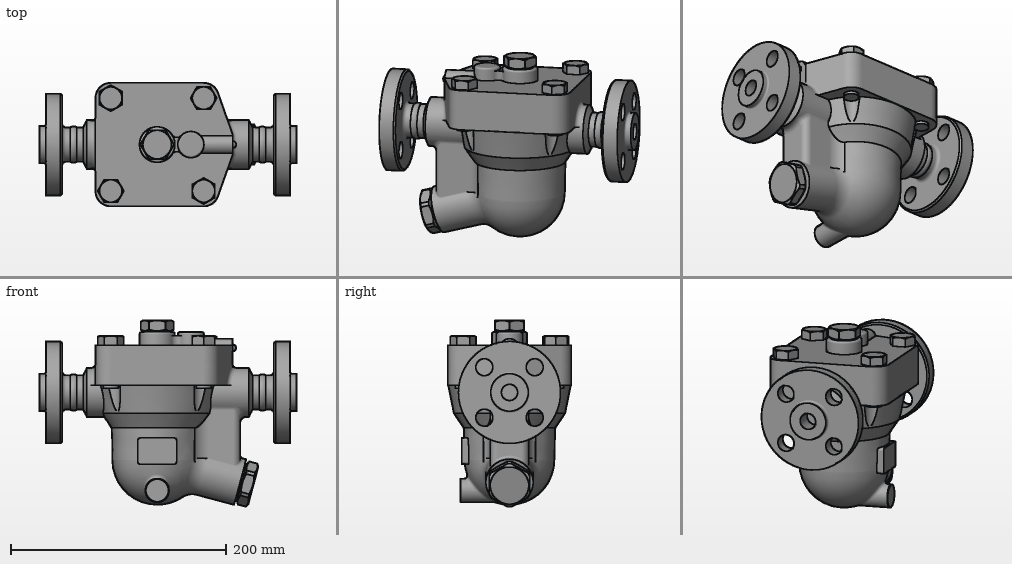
import cadquery as cq
import math


BOLT_OFFSET = 43.15
CORNER_RADIUS = 14.3
PLATE_HALF = BOLT_OFFSET + CORNER_RADIUS
FLANGE_BOTTOM = 6.7
JOINT_LEVEL = 26.8
COVER_TOP = 44.0
NOSE_X = 70.0
NOSE_HALF_WIDTH = 9.5

HEX_CHAMFER_SHARE = 0.14
HEX_CHAMFER_ANGLE = 30.0

BOLT_ACROSS_FLATS = 21.0
BOLT_HEAD_HEIGHT = 8.5
BOLT_DIAMETER = 14.0
BOLT_END_LEVEL = 3.8
BOLT_CLEARANCE_RADIUS = 8.8

BOWL_TOP_RADIUS = 57.1
BOWL_WAIST_RADIUS = 51.9
BOWL_WAIST_LEVEL = -19.1
CUP_TOP_RADIUS = 42.5
CUP_TOP_LEVEL = -33.0
DOME_RADIUS = 41.8
DOME_CENTRE_LEVEL = -62.5

LEFT_END = -109.5
OVERALL_LENGTH = 239.0
RIGHT_END = LEFT_END + OVERALL_LENGTH
PIPE_RADIUS = 46.0 / 2
NECK_RADIUS = 32.0 / 2
BEAD_RADIUS = 17.0
FACE_RADIUS = 35.0 / 2
FACE_HEIGHT = 6.0
FACE_FILLET = 1.7
FLANGE_RADIUS = 95.0 / 2
FLANGE_THICKNESS = 15.3
FLANGE_CHAMFER = 1.7
NECK_FILLET = 3.3
BEAD_START = 28.7
BEAD_WIDTH = 6.2
LEFT_NECK_END = 40.6
RIGHT_NECK_END = 40.9
CONE_LENGTH = 3.5
PIPE_FILLET = 3.5
FLANGE_HOLE_DIAMETER = 15.8
FLANGE_HOLE_OFFSET = 23.5
BORE_DIAMETER = 15.0

PLUG_BOSS_RADIUS = 16.5
BOSS_TOP = 56.2
PLUG_ACROSS_FLATS = 27.0
PLUG_ACROSS_CORNERS = 30.8
PLUG_NECK_RADIUS = 12.5
PLUG_GAP = 1.0
PLUG_HEIGHT = 9.8
SIDE_BOSS_X = 31.3
SIDE_BOSS_RADIUS = 12.2
BOSS_ROUND = 2.0
BRIDGE_BLEND = 5.5
BRIDGE_TOP = 52.8
DUCT_RADIUS = 8.5
DUCT_LEVEL = 41.3
TIP_RADIUS = 3.3

PORT_ANGLE = 15.0
PORT_RADIUS = 44.0 / 2
PORT_LENGTH = 79.8
PORT_BLEND = 17.2
PORT_PLUG_ACROSS_FLATS = 37.8
PORT_PLUG_ACROSS_CORNERS = 41.5
PORT_PLUG_NECK_RADIUS = 16.7
PORT_PLUG_GAP = 1.7
PORT_PLUG_HEIGHT = 11.0

RIB_HALF_WIDTH = 17.7
RIB_START_X = 28.7
RIB_END_X = 77.2
RIB_LOW_LEVEL = -86.0
RIB_ROOT_LEVEL = -64.5
RIB_CORNER = 6.5
RIB_BLEND = 15.5
RIB_PIPE_FILLET = 5.3
RIB_PORT_FILLET = 2.5

PAD_WIDTH = 36.0
PAD_HEIGHT = 24.4
PAD_CENTRE_LEVEL = -54.5
PAD_FACE_Y = -44.5
PAD_DEPTH = 18.6
PAD_CORNER = 2.5
DRAIN_RADIUS = 22.0 / 2
DRAIN_LEVEL = -91.0
DRAIN_FACE_Y = -46.0
DRAIN_CHAMFER = 0.5
DRAIN_BLEND = 2.9


def corner_diameter(across_flats):
    return across_flats / math.cos(math.radians(30))


def hex_head(across_flats, across_corners, height, chamfer_bottom=False):
    """Hexagon head with corners on X, turned to a corner diameter and chamfered at the rim."""
    head = cq.Workplane("XY").polygon(6, corner_diameter(across_flats)).extrude(height)
    corner = across_corners / 2
    inset = HEX_CHAMFER_SHARE * corner
    drop = inset * math.tan(math.radians(HEX_CHAMFER_ANGLE))
    envelope = cq.Workplane("XY").circle(corner).extrude(height).faces(">Z").chamfer(drop, inset)
    if chamfer_bottom:
        envelope = envelope.faces("<Z").chamfer(drop, inset)
    return head.intersect(envelope)


def edges_in(low, high):
    """Selector for the edges whose centres lie in a box."""
    return cq.selectors.BoxSelector(low, high)


def cylinder(radius, bottom, top, x=0, y=0):
    return cq.Workplane("XY", origin=(x, y, bottom)).circle(radius).extrude(top - bottom)


def plate(bottom, top):
    """Square plate whose right side comes to a blunt nose."""
    dx = NOSE_X - BOLT_OFFSET
    dy = NOSE_HALF_WIDTH - BOLT_OFFSET
    slant = math.atan2(dy, dx) + math.acos(CORNER_RADIUS / math.hypot(dx, dy))

    def on_corner(angle):
        return (BOLT_OFFSET + CORNER_RADIUS * math.cos(angle),
                BOLT_OFFSET + CORNER_RADIUS * math.sin(angle))

    middle = on_corner((slant + math.pi / 2) / 2)
    end = on_corner(slant)
    diagonal = BOLT_OFFSET + CORNER_RADIUS * math.cos(math.pi / 4)
    half_plate = (
        cq.Workplane("XY", origin=(0, 0, bottom))
        .moveTo(-PLATE_HALF, 0)
        .lineTo(-PLATE_HALF, BOLT_OFFSET)
        .threePointArc((-diagonal, diagonal), (-BOLT_OFFSET, PLATE_HALF))
        .lineTo(BOLT_OFFSET, PLATE_HALF)
        .threePointArc(middle, end)
        .lineTo(NOSE_X, NOSE_HALF_WIDTH)
        .lineTo(NOSE_X, 0)
        .close()
        .extrude(top - bottom)
    )
    return half_plate.union(half_plate.mirror("XZ"))


def bowl():
    bottom = DOME_CENTRE_LEVEL - DOME_RADIUS
    arc = DOME_RADIUS * math.sqrt(0.5)
    return (
        cq.Workplane("XZ")
        .moveTo(0, bottom)
        .threePointArc((arc, DOME_CENTRE_LEVEL - arc), (DOME_RADIUS, DOME_CENTRE_LEVEL))
        .lineTo(CUP_TOP_RADIUS, CUP_TOP_LEVEL)
        .lineTo(BOWL_WAIST_RADIUS, BOWL_WAIST_LEVEL)
        .lineTo(BOWL_TOP_RADIUS, FLANGE_BOTTOM)
        .lineTo(0, FLANGE_BOTTOM)
        .close()
        .revolve(360, (0, 0, 0), (0, 1, 0))
    )


def pipe_end(length, neck_end):
    """Pipe, neck and bolted flange along +X; the outer face is at X = 0, the body at X = length."""
    back = FACE_HEIGHT + FLANGE_THICKNESS
    fillet = NECK_FILLET * (1 - math.sqrt(0.5))
    face_fillet = FACE_FILLET * (1 - math.sqrt(0.5))
    shape = (
        cq.Workplane("XY")
        .moveTo(0, 0)
        .lineTo(0, FACE_RADIUS)
        .lineTo(FACE_HEIGHT - FACE_FILLET, FACE_RADIUS)
        .threePointArc((FACE_HEIGHT - face_fillet, FACE_RADIUS + face_fillet),
                       (FACE_HEIGHT, FACE_RADIUS + FACE_FILLET))
        .lineTo(FACE_HEIGHT, FLANGE_RADIUS)
        .lineTo(back - FLANGE_CHAMFER, FLANGE_RADIUS)
        .lineTo(back, FLANGE_RADIUS - FLANGE_CHAMFER)
        .lineTo(back, NECK_RADIUS + NECK_FILLET)
        .threePointArc((back + fillet, NECK_RADIUS + fillet), (back + NECK_FILLET, NECK_RADIUS))
        .lineTo(BEAD_START, NECK_RADIUS)
        .threePointArc((BEAD_START + BEAD_WIDTH / 2, BEAD_RADIUS), (BEAD_START + BEAD_WIDTH, NECK_RADIUS))
        .lineTo(neck_end, NECK_RADIUS)
        .lineTo(neck_end + CONE_LENGTH, PIPE_RADIUS)
        .lineTo(length, PIPE_RADIUS)
        .lineTo(length, 0)
        .close()
        .revolve(360, (0, 0, 0), (1, 0, 0))
    )
    holes = (
        cq.Workplane("YZ")
        .rect(2 * FLANGE_HOLE_OFFSET, 2 * FLANGE_HOLE_OFFSET, forConstruction=True)
        .vertices()
        .circle(FLANGE_HOLE_DIAMETER / 2)
        .extrude(back)
    )
    bore = cq.Workplane("YZ").circle(BORE_DIAMETER / 2).extrude(back)
    return shape.cut(holes).cut(bore)


def on_port_axis(shape):
    """Turn a shape built along +Z onto the inclined port axis."""
    turned = shape.rotate((0, 0, 0), (0, 1, 0), 90 + PORT_ANGLE)
    return turned.translate((0, 0, DOME_CENTRE_LEVEL))


def side_port():
    """Round port that flares tangentially into the dome."""
    arc_radial = PORT_RADIUS + PORT_BLEND
    arc_centre = DOME_RADIUS + PORT_BLEND
    flare_end = math.sqrt(arc_centre**2 - arc_radial**2)
    touch = DOME_RADIUS / arc_centre
    start = (arc_radial * touch, flare_end * touch)
    middle_angle = math.atan2(flare_end, arc_radial) / 2
    middle = (arc_radial - PORT_BLEND * math.cos(middle_angle),
              flare_end - PORT_BLEND * math.sin(middle_angle))
    port = (
        cq.Workplane("XZ")
        .moveTo(0, 0)
        .lineTo(*start)
        .threePointArc(middle, (PORT_RADIUS, flare_end))
        .lineTo(PORT_RADIUS, PORT_LENGTH)
        .lineTo(0, PORT_LENGTH)
        .close()
        .revolve(360, (0, 0, 0), (0, 1, 0))
    )
    return on_port_axis(port)


def port_plug():
    gap_disc = cylinder(PORT_PLUG_NECK_RADIUS, PORT_LENGTH, PORT_LENGTH + PORT_PLUG_GAP)
    head = hex_head(PORT_PLUG_ACROSS_FLATS, PORT_PLUG_ACROSS_CORNERS, PORT_PLUG_HEIGHT, True)
    head = head.translate((0, 0, PORT_LENGTH + PORT_PLUG_GAP))
    return on_port_axis(gap_disc.union(head))


def above_port_axis(shape):
    size = 2 * PORT_LENGTH
    below = cq.Workplane("XY", origin=(size / 2, 0, 0)).box(size, size, 2 * size)
    return shape.cut(on_port_axis(below))


def channel_rib():
    """Upright rib from the right pipe down to the port, with plain lengths of both to fillet against."""
    length = RIB_END_X - RIB_START_X
    rib = (
        cq.Workplane("XY", origin=(RIB_START_X + length / 2, 0, RIB_LOW_LEVEL))
        .rect(length, 2 * RIB_HALF_WIDTH)
        .extrude(-RIB_LOW_LEVEL)
        .edges("|Z and >X")
        .fillet(RIB_CORNER)
    )
    port = on_port_axis(cylinder(PORT_RADIUS, 0, PORT_LENGTH))
    pipe_length = RIGHT_END - RIGHT_NECK_END - CONE_LENGTH - RIB_START_X
    pipe = cq.Workplane("YZ", origin=(RIB_START_X, 0, 0)).circle(PIPE_RADIUS).extrude(pipe_length)
    rib = above_port_axis(rib).union(port).union(pipe)

    inner_x = RIB_START_X + 4.8
    outer_x = RIB_END_X + 2.5
    width = RIB_HALF_WIDTH + 2.5
    port_edges = edges_in((inner_x, -width, DOME_CENTRE_LEVEL - 7.2), (outer_x, width, DOME_CENTRE_LEVEL + 2.5))
    rib = rib.edges(port_edges).edges("not %CIRCLE").fillet(RIB_PORT_FILLET)
    pipe_edges = edges_in((inner_x, -width, -PIPE_RADIUS - 0.2), (outer_x, width, -PIPE_RADIUS / 2))
    return rib.edges(pipe_edges).fillet(RIB_PIPE_FILLET)


def rib_root():
    """Concave blend between the rib sides and the round cup."""
    centre_y = RIB_HALF_WIDTH + RIB_BLEND
    centre_x = math.sqrt((CUP_TOP_RADIUS + RIB_BLEND) ** 2 - centre_y**2)
    touch = CUP_TOP_RADIUS / (CUP_TOP_RADIUS + RIB_BLEND)
    half_angle = math.atan2(centre_x, centre_y) / 2
    middle = (centre_x - RIB_BLEND * math.sin(half_angle), centre_y - RIB_BLEND * math.cos(half_angle))
    half_root = (
        cq.Workplane("XY", origin=(0, 0, RIB_ROOT_LEVEL))
        .lineTo(centre_x * touch, centre_y * touch)
        .threePointArc(middle, (centre_x, RIB_HALF_WIDTH))
        .lineTo(centre_x, 0)
        .close()
        .extrude(-RIB_ROOT_LEVEL)
    )
    return above_port_axis(half_root.union(half_root.mirror("XZ")))


def name_pad():
    return (
        cq.Workplane("XZ", origin=(0, PAD_FACE_Y, PAD_CENTRE_LEVEL))
        .rect(PAD_WIDTH, PAD_HEIGHT)
        .extrude(-PAD_DEPTH)
        .edges("|Y")
        .fillet(PAD_CORNER)
    )


def drain_boss():
    return (
        cq.Workplane("XZ", origin=(0, DRAIN_FACE_Y, DRAIN_LEVEL))
        .circle(DRAIN_RADIUS)
        .extrude(DRAIN_FACE_Y)
        .faces("<Y")
        .chamfer(DRAIN_CHAMFER)
    )


def boss_bridge():
    """Low web between the two cover bosses; each concave side is tangent to both bosses."""
    main_reach = PLUG_BOSS_RADIUS + BRIDGE_BLEND
    side_reach = SIDE_BOSS_RADIUS + BRIDGE_BLEND
    arc_x = (main_reach**2 - side_reach**2 + SIDE_BOSS_X**2) / (2 * SIDE_BOSS_X)
    arc_y = math.sqrt(main_reach**2 - arc_x**2)
    main_touch = PLUG_BOSS_RADIUS / main_reach
    side_touch = SIDE_BOSS_RADIUS / side_reach
    half_bridge = (
        cq.Workplane("XY", origin=(0, 0, COVER_TOP))
        .lineTo(arc_x * main_touch, arc_y * main_touch)
        .threePointArc((arc_x, arc_y - BRIDGE_BLEND),
                       (SIDE_BOSS_X + (arc_x - SIDE_BOSS_X) * side_touch, arc_y * side_touch))
        .lineTo(SIDE_BOSS_X, 0)
        .close()
        .extrude(BRIDGE_TOP - COVER_TOP)
    )
    return half_bridge.union(half_bridge.mirror("XZ"))


def cover_fittings():
    main = cylinder(PLUG_BOSS_RADIUS, COVER_TOP, BOSS_TOP).faces(">Z").edges().fillet(BOSS_ROUND)
    side = cylinder(SIDE_BOSS_RADIUS, COVER_TOP, BOSS_TOP, SIDE_BOSS_X).faces(">Z").edges().fillet(BOSS_ROUND)
    duct = (
        cq.Workplane("YZ", origin=(SIDE_BOSS_X, 0, DUCT_LEVEL))
        .circle(DUCT_RADIUS)
        .extrude(NOSE_X - SIDE_BOSS_X)
    )
    tip = cq.Workplane("XY", origin=(NOSE_X, 0, DUCT_LEVEL)).sphere(TIP_RADIUS)
    neck = cylinder(PLUG_NECK_RADIUS, BOSS_TOP, BOSS_TOP + PLUG_GAP)
    plug = hex_head(PLUG_ACROSS_FLATS, PLUG_ACROSS_CORNERS, PLUG_HEIGHT, True)
    plug = plug.translate((0, 0, BOSS_TOP + PLUG_GAP))
    return [main, side, boss_bridge(), duct, tip, neck, plug]


bolt_places = [(sx * BOLT_OFFSET, sy * BOLT_OFFSET) for sx in (-1, 1) for sy in (-1, 1)]

vessel = bowl().union(drain_boss())
drain_root = edges_in((-2.5, -DOME_RADIUS, DRAIN_LEVEL - DRAIN_RADIUS), (2.5, -2.5, DRAIN_LEVEL + DRAIN_RADIUS))
vessel = vessel.edges(drain_root).edges("not %LINE").fillet(DRAIN_BLEND)
for x, y in bolt_places:
    vessel = vessel.cut(cylinder(BOLT_CLEARANCE_RADIUS, BOWL_WAIST_LEVEL, FLANGE_BOTTOM, x, y))

left_pipe = pipe_end(-LEFT_END, LEFT_NECK_END).translate((LEFT_END, 0, 0))
right_pipe = pipe_end(RIGHT_END, RIGHT_NECK_END).rotate((0, 0, 0), (0, 0, 1), 180)
right_pipe = right_pipe.translate((RIGHT_END, 0, 0))
flanged_pipes = plate(FLANGE_BOTTOM, JOINT_LEVEL).union(left_pipe).union(right_pipe)
for low_x, high_x in ((-PLATE_HALF - 0.2, -PLATE_HALF + 0.2), (BOLT_OFFSET, NOSE_X + 0.2)):
    pipe_root = edges_in((low_x, -PIPE_RADIUS, FLANGE_BOTTOM + 0.2), (high_x, PIPE_RADIUS, PIPE_RADIUS))
    flanged_pipes = flanged_pipes.edges(pipe_root).fillet(PIPE_FILLET)

body = vessel.union(flanged_pipes)
for part in (channel_rib(), rib_root(), side_port(), port_plug(), name_pad()):
    body = body.union(part)
body = body.union(plate(JOINT_LEVEL, COVER_TOP), clean=False)
for fitting in cover_fittings():
    body = body.union(fitting, clean=False)

for x, y in bolt_places:
    turn = 30 if x * y < 0 else 0
    head = hex_head(BOLT_ACROSS_FLATS, corner_diameter(BOLT_ACROSS_FLATS), BOLT_HEAD_HEIGHT)
    head = head.rotate((0, 0, 0), (0, 0, 1), turn).translate((x, y, COVER_TOP))
    shank = cylinder(BOLT_DIAMETER / 2, BOLT_END_LEVEL, FLANGE_BOTTOM, x, y)
    body = body.union(head, clean=False).union(shank, clean=False)

result = body